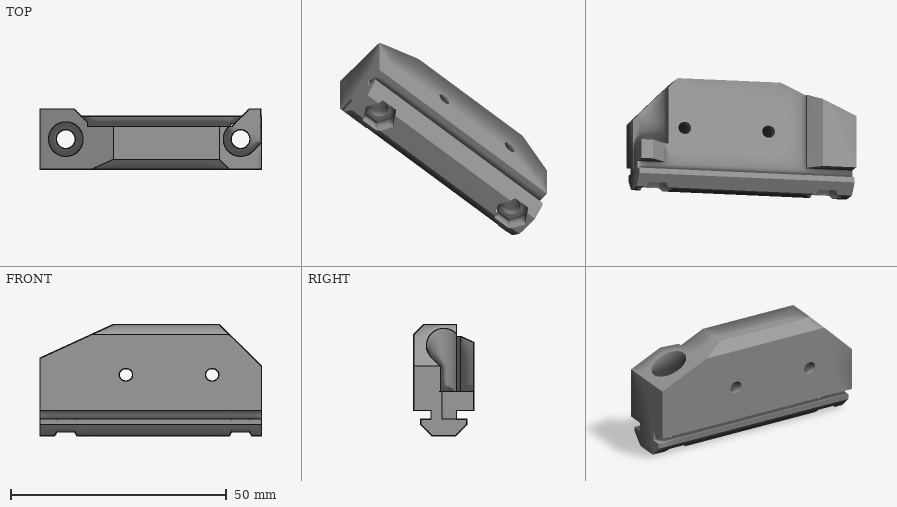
import cadquery as cq
import math

length = 51.4
width = 14.0
height = 25.8
half_length = length / 2
half_width = width / 2

rail_bottom_half_width = 2.7
rail_half_width = 5.35
rail_bevel = rail_half_width - rail_bottom_half_width
rail_top_z = 3.85
neck_half_width = 3.0
body_bottom_z = 5.85

left_end_z = 18.0
right_end_z = 16.15
top_left_x = -8.7
top_right_x = 15.9
front_bevel = 2.3

left_boss_corner_x = -17.75
left_boss_edge_x = -14.65
boss_bevel = left_boss_edge_x - left_boss_corner_x
right_boss_corner_x = 22.8
right_boss_foot_x = right_boss_corner_x - (half_width - neck_half_width)

screw_positions = (-19.7, 20.8)
screw_diameter = 4.3
head_diameter = 8.0
head_seat_z = 10.3
nut_across_flats = 7.2
nut_across_corners = nut_across_flats / math.cos(math.pi / 6)

slot_angle = 45.0
slot_length = 20.55

end_relief_depth = 0.15
end_relief_front_y = -0.4

cross_hole_positions = (-5.75, 14.25)
cross_hole_z = 14.15
cross_hole_height = 2.8
cross_hole_length = 3.05


def make_cross_section():
    """Extrude the T-rail and body section along X."""
    half_outline = [
        (rail_bottom_half_width, 0),
        (rail_half_width, rail_bevel),
        (rail_half_width, rail_top_z),
        (neck_half_width, rail_top_z),
        (neck_half_width, body_bottom_z),
        (half_width, body_bottom_z),
        (half_width, height),
    ]
    front_outline = [(-y, z) for y, z in half_outline[:-1]]
    front_outline += [(-half_width, height - front_bevel), (-half_width + front_bevel, height)]
    outline = half_outline + front_outline[::-1]
    return cq.Workplane("YZ").polyline(outline).close().extrude(half_length, both=True)


def make_side_profile():
    """Extrude the side outline with its two sloping ends across Y."""
    outline = [
        (-half_length, 0),
        (half_length, 0),
        (half_length, right_end_z),
        (top_right_x, height),
        (top_left_x, height),
        (-half_length, left_end_z),
    ]
    return cq.Workplane("XZ").polyline(outline).close().extrude(half_width, both=True)


def make_back_recess():
    """Space between the bosses, behind the wall and above the rail."""
    outline = [
        (left_boss_corner_x, half_width),
        (left_boss_edge_x, half_width - boss_bevel),
        (left_boss_edge_x, neck_half_width),
        (right_boss_foot_x, neck_half_width),
        (right_boss_corner_x, half_width),
    ]
    return (
        cq.Workplane("XY", origin=(0, 0, rail_top_z))
        .polyline(outline)
        .close()
        .extrude(height - rail_top_z)
    )


def make_screw_cutter(x):
    """Through hole, head bore and nut pocket on one vertical axis."""
    hole = cq.Workplane("XY").center(x, 0).circle(screw_diameter / 2).extrude(height)
    head = (
        cq.Workplane("XY", origin=(x, 0, head_seat_z))
        .circle(head_diameter / 2)
        .extrude(height - head_seat_z)
    )
    nut = cq.Workplane("XY").center(x, 0).polygon(6, nut_across_corners).extrude(rail_top_z)
    return hole.union(head).union(nut)


def make_head_slot():
    """Diagonal slot as wide as the head bore, starting on its axis."""
    return (
        cq.Workplane("XY")
        .box(slot_length, head_diameter, height - head_seat_z, centered=(False, True, False))
        .rotate((0, 0, 0), (0, 0, 1), slot_angle)
        .translate((screw_positions[-1], 0, head_seat_z))
    )


def make_end_relief():
    """Thin layer taken off the back part of the right end face."""
    return cq.Workplane("XY").box(
        end_relief_depth,
        half_width - end_relief_front_y,
        height - rail_top_z,
        centered=False,
    ).translate((half_length - end_relief_depth, end_relief_front_y, rail_top_z))


result = make_cross_section().intersect(make_side_profile())
result = result.cut(make_back_recess())
for screw_x in screw_positions:
    result = result.cut(make_screw_cutter(screw_x))
result = result.cut(make_head_slot())
result = result.cut(make_end_relief())

cross_holes = (
    cq.Workplane("XZ")
    .pushPoints([(x, cross_hole_z) for x in cross_hole_positions])
    .slot2D(cross_hole_length, cross_hole_height)
    .extrude(half_width, both=True)
)
result = result.cut(cross_holes)